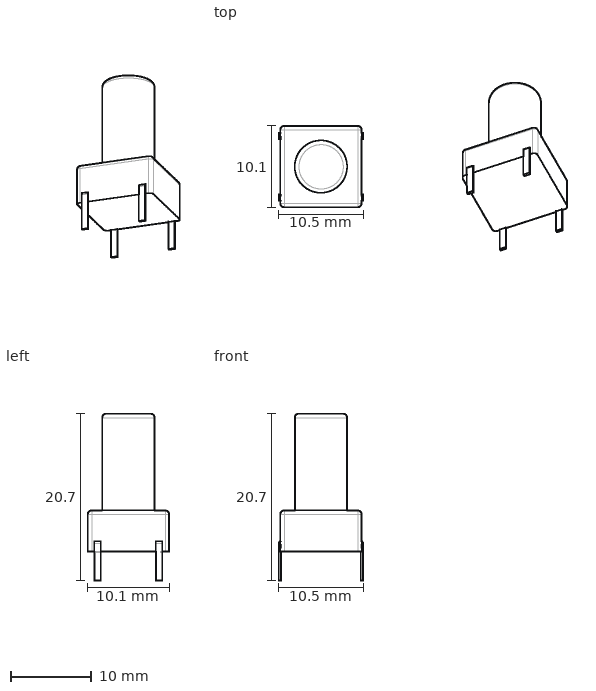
import cadquery as cq

overall_width = 10.46
overall_height = 20.7

housing_side = 10.1
housing_height = 5.1
housing_edge_radius = 0.5

pin_length_below = 3.6
pin_height_in_housing = 1.3
pin_thickness = 0.3
pin_width = 0.8
pin_pitch = 7.62
pin_outer_face_x = overall_width / 2

button_diameter = 6.5
button_edge_radius = 0.5
button_height = overall_height - pin_length_below - housing_height


def make_pin(side, y_center):
    """Flat pin with its top outer edge rounded; side is +1 or -1 along X."""
    outer_x = side * pin_outer_face_x
    inner_x = side * (pin_outer_face_x - pin_thickness)
    shoulder_z = pin_height_in_housing - pin_thickness
    arc_offset = pin_thickness * 0.5 ** 0.5
    arc_middle = (inner_x + side * arc_offset, shoulder_z + arc_offset)
    return (
        cq.Workplane("XZ", origin=(0, y_center + pin_width / 2, 0))
        .moveTo(inner_x, -pin_length_below)
        .lineTo(outer_x, -pin_length_below)
        .lineTo(outer_x, shoulder_z)
        .threePointArc(arc_middle, (inner_x, pin_height_in_housing))
        .close()
        .extrude(pin_width)
    )


def make_housing(pins):
    """Block with rounded upright and top edges, and a matching recess for each pin."""
    block = (
        cq.Workplane("XY")
        .rect(housing_side, housing_side)
        .extrude(housing_height)
        .edges("|Z or >Z")
        .fillet(housing_edge_radius)
    )
    for pin in pins:
        block = block.cut(pin)
    return block


def make_button():
    """Plain cylinder with a rounded top rim."""
    return (
        cq.Workplane("XY", origin=(0, 0, housing_height))
        .circle(button_diameter / 2)
        .extrude(button_height)
        .faces(">Z")
        .edges()
        .fillet(button_edge_radius)
    )


pins = []
for side in (-1, 1):
    for row in (-1, 1):
        pins.append(make_pin(side, row * pin_pitch / 2))

housing = make_housing(pins)
button = make_button()

result = cq.Compound.makeCompound([housing.val(), button.val(), *[pin.val() for pin in pins]])